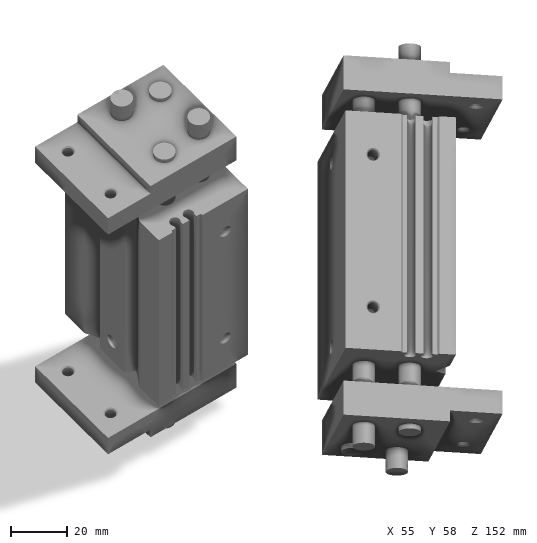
import cadquery as cq
import math


HOUSING_WIDTH = 55.0
HOUSING_DEPTH = 40.0
HOUSING_HEIGHT = 90.0

GROOVE_ROOT_X = 9.5
GROOVE_DEPTH = 3.8
GENTLE_FLANK_ANGLE = math.radians(30)
OUTER_EDGE_FILLET = 2.3
INNER_EDGE_FILLET = 0.8

CHANNEL_BACK_Y = -20.2
CHANNEL_FRONT_Y = -34.0
CHANNEL_DEPTH = 0.9
CHANNEL_BEVEL = 0.53
SLOT_CENTERS_Y = (-24.0, -30.1)
SLOT_NECK_WIDTH = 3.2
SLOT_BULB_DIAMETER = 4.1
SLOT_BULB_INSET = 3.5

MOUNT_HOLE_DIAMETER = 5.5
MOUNT_HOLE_Z = 35.0

TAP_DIAMETER = 4.1
TAP_MOUTH_DIAMETER = 5.0
TAP_CHAMFER = (TAP_MOUTH_DIAMETER - TAP_DIAMETER) / 2
SIDE_HOLE_Y = -10.0
SIDE_HOLE_Z = 28.9
SIDE_HOLE_DEPTH = 7.6
DRILL_POINT_HALF_ANGLE = math.radians(59)

ROD_DIAMETER = 8.0
BACK_ROD_X = 11.2
BACK_ROD_Y = -9.5
FRONT_ROD_X = 12.5
FRONT_ROD_Y = -26.0
ROD_FIXED_END_Z = 69.9
ROD_FREE_END_Z = -76.0

PLATE_WIDTH = 42.7
PLATE_BACK_Y = -0.5
PLATE_FRONT_Y = -58.0
PLATE_INNER_Z = 55.2
PLATE_THICKNESS = 12.9
STEP_Y = -39.0
STEP_HEIGHT = 4.1
FINGER_HOLE_X = FRONT_ROD_X
FINGER_HOLE_Y = -50.2

FIXED_RODS = [(-BACK_ROD_X, BACK_ROD_Y), (FRONT_ROD_X, FRONT_ROD_Y)]
SLIDING_RODS = [(BACK_ROD_X, BACK_ROD_Y), (-FRONT_ROD_X, FRONT_ROD_Y)]


def upright_cylinders(points, diameter, bottom_z, top_z):
    """Cylinders along Z standing at the given (x, y) points."""
    return (
        cq.Workplane("XY", origin=(0, 0, bottom_z))
        .pushPoints(points)
        .circle(diameter / 2)
        .extrude(top_z - bottom_z)
    )


def housing_prism(sketch):
    """Extrude an XY sketch over the full height of the housing."""
    return sketch.extrude(HOUSING_HEIGHT / 2, both=True)


def fillet_vertical_edges(body, x, y, radius):
    """Round the pair of vertical edges at (x, y) and (-x, y)."""
    for edge_x in (-x, x):
        body = body.edges(cq.selectors.NearestToPointSelector((edge_x, y, 0))).fillet(radius)
    return body


def cut_front_grooves(body):
    """Cut the two mirrored V grooves and round the edges where they meet the front face."""
    front_y = -HOUSING_DEPTH
    outer_x = GROOVE_ROOT_X + GROOVE_DEPTH / math.tan(GENTLE_FLANK_ANGLE)
    inner_x = GROOVE_ROOT_X - GROOVE_DEPTH * math.tan(GENTLE_FLANK_ANGLE)
    for side in (-1, 1):
        outline = cq.Workplane("XY").polyline(
            [
                (side * outer_x, front_y),
                (side * GROOVE_ROOT_X, front_y + GROOVE_DEPTH),
                (side * inner_x, front_y),
            ]
        ).close()
        body = body.cut(housing_prism(outline))
    body = fillet_vertical_edges(body, outer_x, front_y, OUTER_EDGE_FILLET)
    return fillet_vertical_edges(body, inner_x, front_y, INNER_EDGE_FILLET)


def side_channel(side):
    """Channel with bevelled ends and two keyhole slots, for the side face at +X or -X."""
    face_x = side * HOUSING_WIDTH / 2
    floor_x = face_x - side * CHANNEL_DEPTH
    bulb_x = face_x - side * SLOT_BULB_INSET
    cutter = housing_prism(
        cq.Workplane("XY")
        .polyline(
            [
                (face_x, CHANNEL_BACK_Y),
                (floor_x, CHANNEL_BACK_Y - CHANNEL_BEVEL),
                (floor_x, CHANNEL_FRONT_Y + CHANNEL_BEVEL),
                (face_x, CHANNEL_FRONT_Y),
            ]
        )
        .close()
    )
    for slot_y in SLOT_CENTERS_Y:
        neck = cq.Workplane("XY").center((face_x + bulb_x) / 2, slot_y).rect(SLOT_BULB_INSET, SLOT_NECK_WIDTH)
        bulb = cq.Workplane("XY").center(bulb_x, slot_y).circle(SLOT_BULB_DIAMETER / 2)
        cutter = cutter.union(housing_prism(neck)).union(housing_prism(bulb))
    return cutter


def side_hole(side, z):
    """Blind tapped hole with a chamfered mouth and a conical drill point, in a side face."""
    radius = TAP_DIAMETER / 2
    point_length = radius / math.tan(DRILL_POINT_HALF_ANGLE)
    profile = (
        cq.Workplane("XY")
        .polyline(
            [
                (0, 0),
                (0, TAP_MOUTH_DIAMETER / 2),
                (TAP_CHAMFER, radius),
                (SIDE_HOLE_DEPTH, radius),
                (SIDE_HOLE_DEPTH + point_length, 0),
            ]
        )
        .close()
    )
    hole = profile.revolve(360, (0, 0, 0), (1, 0, 0))
    if side > 0:
        hole = hole.mirror("YZ")
    return hole.translate((side * HOUSING_WIDTH / 2, SIDE_HOLE_Y, z))


def make_housing():
    body = housing_prism(
        cq.Workplane("XY").center(0, -HOUSING_DEPTH / 2).rect(HOUSING_WIDTH, HOUSING_DEPTH)
    )
    body = cut_front_grooves(body)
    for side in (-1, 1):
        body = body.cut(side_channel(side))
        for z in (-SIDE_HOLE_Z, SIDE_HOLE_Z):
            body = body.cut(side_hole(side, z))
    mount_holes = (
        cq.Workplane("XZ")
        .pushPoints([(0, -MOUNT_HOLE_Z), (0, MOUNT_HOLE_Z)])
        .circle(MOUNT_HOLE_DIAMETER / 2)
        .extrude(HOUSING_DEPTH)
    )
    rod_bores = upright_cylinders(
        FIXED_RODS + SLIDING_RODS, ROD_DIAMETER, -HOUSING_HEIGHT / 2, HOUSING_HEIGHT / 2
    )
    return body.cut(mount_holes).cut(rod_bores)


def make_finger():
    """Upper finger: a stepped plate with its two fixed rods and clearance for the other two."""
    outer_z = PLATE_INNER_Z + PLATE_THICKNESS
    tip_z = outer_z - STEP_HEIGHT
    plate = (
        cq.Workplane("YZ")
        .polyline(
            [
                (PLATE_BACK_Y, PLATE_INNER_Z),
                (PLATE_BACK_Y, outer_z),
                (STEP_Y, outer_z),
                (STEP_Y, tip_z),
                (PLATE_FRONT_Y, tip_z),
                (PLATE_FRONT_Y, PLATE_INNER_Z),
            ]
        )
        .close()
        .extrude(PLATE_WIDTH / 2, both=True)
    )
    finger_holes = upright_cylinders(
        [(-FINGER_HOLE_X, FINGER_HOLE_Y), (FINGER_HOLE_X, FINGER_HOLE_Y)], TAP_DIAMETER, PLATE_INNER_Z, tip_z
    )
    plate = plate.cut(finger_holes)
    hole_rims = cq.selectors.BoxSelector(
        (-PLATE_WIDTH / 2, FINGER_HOLE_Y - TAP_DIAMETER, PLATE_INNER_Z - TAP_CHAMFER),
        (PLATE_WIDTH / 2, FINGER_HOLE_Y + TAP_DIAMETER, outer_z),
    )
    plate = plate.edges("%CIRCLE").edges(hole_rims).chamfer(TAP_CHAMFER)
    plate = plate.cut(upright_cylinders(SLIDING_RODS, ROD_DIAMETER, PLATE_INNER_Z, outer_z))
    return plate.union(upright_cylinders(FIXED_RODS, ROD_DIAMETER, ROD_FREE_END_Z, ROD_FIXED_END_Z))


housing = make_housing()

fingers = [make_finger().rotate((0, 0, 0), (0, 1, 0), turn) for turn in (0, 180)]

result = cq.Compound.makeCompound(
    [housing.solids().val(), *[finger.solids().val() for finger in fingers]]
)